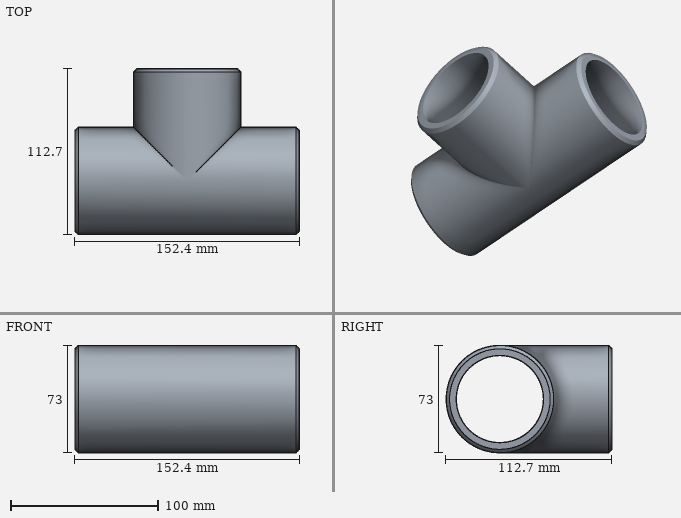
import cadquery as cq

OUTER_DIAMETER = 73.025
WALL = 7.01
CENTER_TO_END = 76.2
END_CHAMFER = 2.4

OUTER_RADIUS = OUTER_DIAMETER / 2
BORE_RADIUS = OUTER_RADIUS - WALL
RUN_LENGTH = 2 * CENTER_TO_END


def run_cylinder(radius):
    """Cylinder along X, centred on the tee centre."""
    return cq.Workplane("YZ").circle(radius).extrude(CENTER_TO_END, both=True)


def branch_cylinder(radius):
    """Cylinder along +Y, from the tee centre to the branch end."""
    return cq.Workplane("XZ").circle(radius).extrude(-CENTER_TO_END)


run_body = run_cylinder(OUTER_RADIUS).faces("<X or >X").edges().chamfer(END_CHAMFER)
branch_body = branch_cylinder(OUTER_RADIUS).faces(">Y").edges().chamfer(END_CHAMFER)

tee_body = run_body.union(branch_body)
bores = run_cylinder(BORE_RADIUS).union(branch_cylinder(BORE_RADIUS))
result = tee_body.cut(bores)